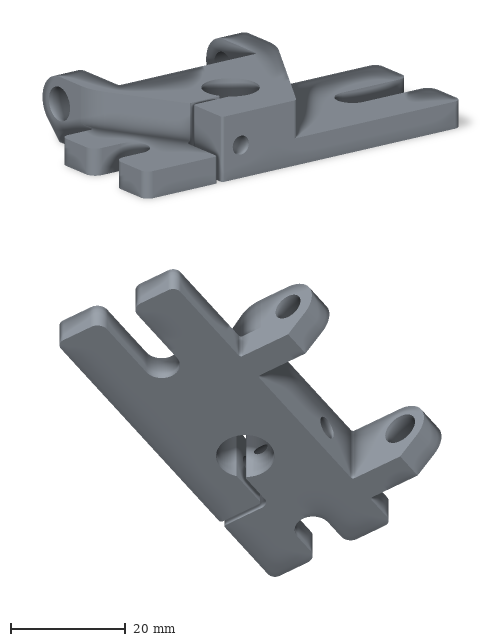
import cadquery as cq
import math

TOTAL_X = 40.0
TOTAL_Y = 68.5
TOTAL_Z = 12.0
PLATE_THICKNESS = 5.0
PLATE_WIDTH = 25.0
PLATE_LEFT = TOTAL_X - PLATE_WIDTH
PLATE_CENTER_X = PLATE_LEFT + PLATE_WIDTH / 2
CORNER_RADIUS = 1.5
SMALL_RADIUS = 0.5

ARM_BOTTOM = 7.0
ARM_SPAN = 41.0
ARM_TOP = ARM_BOTTOM + ARM_SPAN
ARM_THICKNESS = 5.55
NOSE_RADIUS = 5.0
PIVOT_X = NOSE_RADIUS
PIVOT_Z = TOTAL_Z - NOSE_RADIUS
FRONT_PIVOT_DIAMETER = 6.2
BACK_PIVOT_DIAMETER = 5.2

FRONT_BLEND_X = 11.4
BACK_BLEND_X = 10.7
BLEND_RADIUS = 10.0
SIDE_ANGLE = math.radians(30)
BLOCK_CORNER_RADIUS = 1.0

SLOT_WIDTH = 6.4
BACK_SLOT_END = 50.8
FRONT_SLOT_END = 9.3
SLOT_MOUTH_RADIUS = 2.0

BORE_DIAMETER = 10.2
BORE_Y = 27.55
SLIT_WIDTH = 1.0
SLIT_LEFT = 30.4
SLIT_BOTTOM = 15.5
SLIT_RIGHT = SLIT_LEFT + SLIT_WIDTH
SLIT_TOP = SLIT_BOTTOM + SLIT_WIDTH
BORE_TIP_RADIUS = 0.3
SCREW_Y = 20.55
SCREW_Z = 6.0
SCREW_CLEARANCE_DIAMETER = 4.2
SCREW_THREAD_DIAMETER = 3.5


def box(x0, x1, y0, y1, height):
    return cq.Workplane("XY").box(x1 - x0, y1 - y0, height, centered=False).translate((x0, y0, 0))


def round_upright_edges(body, points, radius):
    """Fillet the vertical edges that stand at the given plan positions."""
    reach = 0.1
    edges = body.newObject([])
    for x, y in points:
        corner_box = cq.selectors.BoxSelector(
            (x - reach, y - reach, -TOTAL_Z), (x + reach, y + reach, 2 * TOTAL_Z)
        )
        edges = edges.add(body.edges("|Z").edges(corner_box))
    return edges.fillet(radius)


def mounting_plate():
    """Thin plate with two slots, including the lower part of the arms."""
    plate = box(PLATE_LEFT, TOTAL_X, 0, TOTAL_Y, PLATE_THICKNESS)
    slot_radius = SLOT_WIDTH / 2
    slot_left = PLATE_CENTER_X - slot_radius
    slot_right = PLATE_CENTER_X + slot_radius
    for mouth_y, end_y, inward in ((0, FRONT_SLOT_END, 1), (TOTAL_Y, BACK_SLOT_END, -1)):
        arc_y = end_y - inward * slot_radius
        slot = (
            cq.Workplane("XY")
            .moveTo(slot_left, mouth_y)
            .lineTo(slot_left, arc_y)
            .threePointArc((PLATE_CENTER_X, end_y), (slot_right, arc_y))
            .lineTo(slot_right, mouth_y)
            .close()
            .extrude(PLATE_THICKNESS)
        )
        plate = plate.cut(slot)
        plate = round_upright_edges(plate, [(PLATE_LEFT, mouth_y), (TOTAL_X, mouth_y)], CORNER_RADIUS)
        plate = round_upright_edges(plate, [(slot_left, mouth_y), (slot_right, mouth_y)], SLOT_MOUTH_RADIUS)

    for arm_y in (ARM_BOTTOM, ARM_TOP - ARM_THICKNESS):
        arm = box(0, PLATE_LEFT, arm_y, arm_y + ARM_THICKNESS, PLATE_THICKNESS)
        plate = plate.union(arm)
    return round_upright_edges(plate, [(PLATE_LEFT, ARM_BOTTOM), (PLATE_LEFT, ARM_TOP)], SMALL_RADIUS)


def raised_block():
    """Block above the plate level, including the upper part of the arms."""
    blend_run = BLEND_RADIUS * math.sin(SIDE_ANGLE)
    blend_drop = BLEND_RADIUS * (1 - math.cos(SIDE_ANGLE))
    blend_mid_run = BLEND_RADIUS * math.sin(SIDE_ANGLE / 2)
    blend_mid_drop = BLEND_RADIUS * (1 - math.cos(SIDE_ANGLE / 2))

    def side_drop(x, blend_x):
        return blend_drop + (x - blend_x - blend_run) * math.tan(SIDE_ANGLE)

    slit_middle_x = (SLIT_LEFT + SLIT_RIGHT) / 2
    slit_middle_y = (SLIT_BOTTOM + SLIT_TOP) / 2
    back_corner_y = ARM_TOP - side_drop(TOTAL_X, BACK_BLEND_X)
    block = (
        cq.Workplane("XY", origin=(0, 0, PLATE_THICKNESS))
        .moveTo(0, ARM_BOTTOM)
        .lineTo(FRONT_BLEND_X, ARM_BOTTOM)
        .threePointArc(
            (FRONT_BLEND_X + blend_mid_run, ARM_BOTTOM + blend_mid_drop),
            (FRONT_BLEND_X + blend_run, ARM_BOTTOM + blend_drop),
        )
        .lineTo(slit_middle_x, ARM_BOTTOM + side_drop(slit_middle_x, FRONT_BLEND_X))
        .lineTo(slit_middle_x, slit_middle_y)
        .lineTo(TOTAL_X, slit_middle_y)
        .lineTo(TOTAL_X, back_corner_y)
        .lineTo(BACK_BLEND_X + blend_run, ARM_TOP - blend_drop)
        .threePointArc(
            (BACK_BLEND_X + blend_mid_run, ARM_TOP - blend_mid_drop),
            (BACK_BLEND_X, ARM_TOP),
        )
        .lineTo(0, ARM_TOP)
        .close()
        .extrude(TOTAL_Z - PLATE_THICKNESS)
    )
    block = round_upright_edges(block, [(TOTAL_X, back_corner_y)], BLOCK_CORNER_RADIUS)
    arm_gap = box(0, PLATE_LEFT, ARM_BOTTOM + ARM_THICKNESS, ARM_TOP - ARM_THICKNESS, TOTAL_Z)
    return block.cut(arm_gap)


def arm_envelope():
    """Side profile: round nose with a tangent flat running down to the underside."""
    tangent_angle = math.acos(NOSE_RADIUS / PIVOT_Z)
    tangent_x = PIVOT_X - NOSE_RADIUS * math.sin(tangent_angle)
    tangent_z = PIVOT_Z - NOSE_RADIUS * math.cos(tangent_angle)
    return (
        cq.Workplane("XZ")
        .moveTo(PIVOT_X, 0)
        .lineTo(tangent_x, tangent_z)
        .threePointArc((0, PIVOT_Z), (PIVOT_X, TOTAL_Z))
        .lineTo(TOTAL_X, TOTAL_Z)
        .lineTo(TOTAL_X, 0)
        .close()
        .extrude(-TOTAL_Y)
    )


def pivot_hole(diameter, arm_y):
    return (
        cq.Workplane("XZ", origin=(PIVOT_X, arm_y, PIVOT_Z))
        .circle(diameter / 2)
        .extrude(-ARM_THICKNESS)
    )


def cut_clamp(body):
    """Cut the bore and its slit, then ease the edges along the slit."""
    bore_radius = BORE_DIAMETER / 2
    bore = cq.Workplane("XY").center(PLATE_CENTER_X, BORE_Y).circle(bore_radius).extrude(TOTAL_Z)
    slit = box(SLIT_LEFT, SLIT_RIGHT, SLIT_BOTTOM, BORE_Y, TOTAL_Z)
    slit = slit.union(box(SLIT_LEFT, TOTAL_X, SLIT_BOTTOM, SLIT_TOP, TOTAL_Z))
    slit = round_upright_edges(slit, [(SLIT_LEFT, SLIT_BOTTOM)], SMALL_RADIUS + SLIT_WIDTH)
    slit = round_upright_edges(slit, [(SLIT_RIGHT, SLIT_TOP)], SMALL_RADIUS)
    body = body.cut(bore).cut(slit)

    tip_y = BORE_Y - math.sqrt(bore_radius**2 - (SLIT_LEFT - PLATE_CENTER_X) ** 2)
    body = round_upright_edges(body, [(SLIT_LEFT, tip_y)], BORE_TIP_RADIUS)
    return round_upright_edges(body, [(TOTAL_X, SLIT_BOTTOM), (TOTAL_X, SLIT_TOP)], SMALL_RADIUS)


def screw_hole(diameter, start_x, end_x):
    return (
        cq.Workplane("YZ", origin=(start_x, SCREW_Y, SCREW_Z))
        .circle(diameter / 2)
        .extrude(end_x - start_x)
    )


body = mounting_plate().union(raised_block())
inner_corners = [
    (PLATE_LEFT, ARM_BOTTOM + ARM_THICKNESS),
    (PLATE_LEFT, ARM_TOP - ARM_THICKNESS),
]
body = round_upright_edges(body, inner_corners, SMALL_RADIUS)
body = cut_clamp(body)
body = body.intersect(arm_envelope())
body = body.cut(pivot_hole(FRONT_PIVOT_DIAMETER, ARM_BOTTOM))
body = body.cut(pivot_hole(BACK_PIVOT_DIAMETER, ARM_TOP - ARM_THICKNESS))

body = body.cut(screw_hole(SCREW_CLEARANCE_DIAMETER, PLATE_LEFT, SLIT_RIGHT))
result = body.cut(screw_hole(SCREW_THREAD_DIAMETER, SLIT_RIGHT, TOTAL_X))